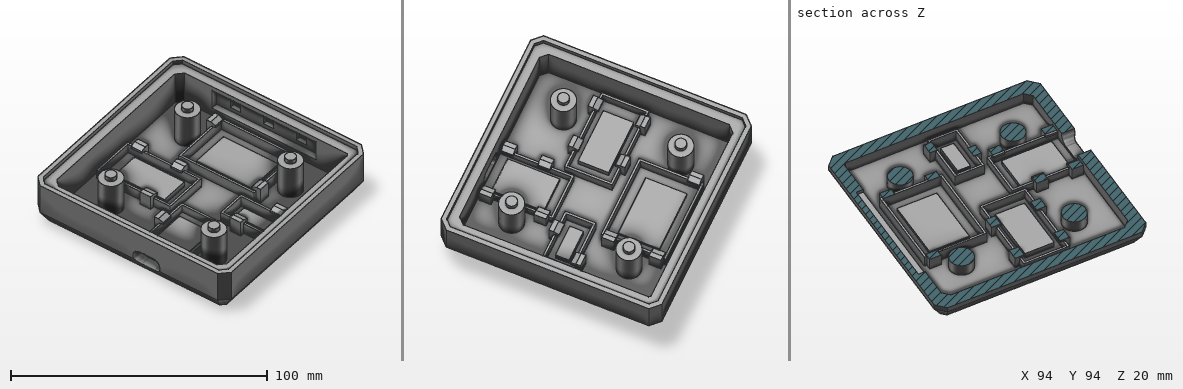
import cadquery as cq
SIDE = 94
HEIGHT = 20.0
CORNER_CUT = 3.9
BASE_SIDE = 86.5
BASE_CORNER_CUT = 1.9
BEVEL_HEIGHT = 6.0
FLOOR_Z = 3.0

LIP_THICKNESS = 2.0
SEAT_DEPTH = 2.0
SEAT_CORNER_CUT = 2.7
CAVITY_SIDE = 82.4
CAVITY_CORNER_CUT = 2.7
SMALL_CORNER_CUT = 0.7
SEAT_Z = HEIGHT - SEAT_DEPTH

POST_OFFSET = 25.0
POST_DIAMETER = 10.2
PIN_DIAMETER = 4.6
PIN_HEIGHT = 2.0

FRAME_WALL = 0.9
CLIP_LENGTH = 5.2
CLIP_THICKNESS = 2.0
CLIP_EMBED = 0.6
HOOK_REACH = 2.35
CLIP_RISE = 2.1
HOOK_TIP_TOP = 1.2
HOOK_TIP_BOTTOM = 0.3

SLOT_X = 8.6
SLOT_Z = 7.6
SLOT_WIDTH = 13.2
SLOT_HEIGHT = 7.0

RECESS_WIDTH = 50.6
RECESS_DEPTH = 3.0
RECESS_BOTTOM_Z = 6.8
RECESS_TOP_Z = 16
SOCKET_PITCH = 16
SOCKET_WIDTH = 5.0
SOCKET_DEPTH = 2.1
SOCKET_BOTTOM_Z = 8.65
SOCKET_TOP_Z = 13.6


def block(x_min, x_max, y_min, y_max, z_min, z_max):
    """Box given by its limits along each axis."""
    return cq.Workplane("XY").box(
        x_max - x_min, y_max - y_min, z_max - z_min, centered=False
    ).translate((x_min, y_min, z_min))


def cut_corner_square(side, cuts):
    """Points of a square with cut corners; cuts go +X+Y, -X+Y, -X-Y, +X-Y."""
    half = side / 2
    first, second, third, fourth = cuts
    return [
        (half, half - first), (half - first, half),
        (second - half, half), (-half, half - second),
        (-half, third - half), (third - half, -half),
        (half - fourth, -half), (half, fourth - half),
    ]


def make_shell():
    base = cut_corner_square(BASE_SIDE, [BASE_CORNER_CUT] * 4)
    outer = cut_corner_square(SIDE, [CORNER_CUT] * 4)
    seat = cut_corner_square(SIDE - 2 * LIP_THICKNESS, [SEAT_CORNER_CUT] * 4)
    cavity = cut_corner_square(CAVITY_SIDE, [SMALL_CORNER_CUT] + [CAVITY_CORNER_CUT] * 3)
    bevel = (
        cq.Workplane("XY").polyline(base).close()
        .workplane(offset=BEVEL_HEIGHT).polyline(outer).close()
        .loft(ruled=True)
    )
    walls = cq.Workplane("XY", origin=(0, 0, BEVEL_HEIGHT)).polyline(outer).close()
    shell = bevel.union(walls.extrude(HEIGHT - BEVEL_HEIGHT))
    for outline, bottom in ((seat, SEAT_Z), (cavity, FLOOR_Z)):
        pocket = cq.Workplane("XY", origin=(0, 0, bottom)).polyline(outline).close()
        shell = shell.cut(pocket.extrude(HEIGHT - bottom))
    return shell


def make_posts():
    """Four posts for the lid, each with a locating pin on top."""
    centers = [(x, y) for x in (-POST_OFFSET, POST_OFFSET) for y in (-POST_OFFSET, POST_OFFSET)]
    posts = cq.Workplane("XY").pushPoints(centers).circle(POST_DIAMETER / 2).extrude(SEAT_Z)
    pins = cq.Workplane("XY").pushPoints(centers).circle(PIN_DIAMETER / 2)
    return posts.union(pins.extrude(SEAT_Z + PIN_HEIGHT))


def make_clip(side, root_x, root_y, frame_top):
    """Snap clip outside the wall facing `side`, with a hook reaching inward from its root point."""
    profile = [
        (-CLIP_EMBED, 0), (CLIP_THICKNESS, 0),
        (CLIP_THICKNESS, frame_top + CLIP_RISE), (0, frame_top + CLIP_RISE),
        (-HOOK_REACH, frame_top + HOOK_TIP_TOP), (-HOOK_REACH, frame_top + HOOK_TIP_BOTTOM),
        (-CLIP_EMBED, frame_top),
    ]
    clip = cq.Workplane("XZ").polyline(profile).close().extrude(CLIP_LENGTH / 2, both=True)
    turn = {"+X": 0, "+Y": 90, "-X": 180, "-Y": 270}[side]
    return clip.rotate((0, 0, 0), (0, 0, 1), turn).translate((root_x, root_y, 0))


def make_frame(x_range, y_range, top, pad_x, pad_y, pad_height, clips):
    """Thin rectangular wall with a pad inside; each clip is (side, place along it, gap to the wall)."""
    (x_min, x_max), (y_min, y_max) = x_range, y_range
    frame = block(x_min, x_max, y_min, y_max, 0, top).cut(block(
        x_min + FRAME_WALL, x_max - FRAME_WALL, y_min + FRAME_WALL, y_max - FRAME_WALL, FLOOR_Z, top
    ))
    frame = frame.union(block(*pad_x, *pad_y, 0, FLOOR_Z + pad_height))
    for side, along, gap in clips:
        root_x, root_y = {
            "+X": (x_max + gap, along),
            "-X": (x_min - gap, along),
            "+Y": (along, y_max + gap),
            "-Y": (along, y_min - gap),
        }[side]
        frame = frame.union(make_clip(side, root_x, root_y, top))
    return frame


def make_frames():
    back = make_frame(
        x_range=(-18.3, 18.3),
        y_range=(10.15, 37.8),
        top=8.0,
        pad_x=(-13.35, 13.35),
        pad_y=(15.1, 32.8),
        pad_height=1.2,
        clips=[("-X", 34.1, 0.3), ("+X", 34.1, 0.3), ("+X", 14.0, 0.3)],
    )
    left = make_frame(
        x_range=(-39.4, -3.6),
        y_range=(-15.1, 5.2),
        top=7.3,
        pad_x=(-33.2, -8.9),
        pad_y=(-11.7, 1.3),
        pad_height=2.5,
        clips=[(side, along, 0) for side in ("-Y", "+Y") for along in (-33.4, -14.2)],
    )
    right = make_frame(
        x_range=(14.7, 37.0),
        y_range=(-6.8, 6.4),
        top=8.0,
        pad_x=(18.9, 32.8),
        pad_y=(-2.9, 2.9),
        pad_height=2.6,
        clips=[("+Y", 32.9, 0.6), ("-Y", 23.3, 0)],
    )
    front = make_frame(
        x_range=(-1.7, 19.0),
        y_range=(-CAVITY_SIDE / 2 - 2 * FRAME_WALL, -10.15),
        top=6.7,
        pad_x=(0.9, 16.4),
        pad_y=(-37.4, -15.1),
        pad_height=1.7,
        clips=[("+X", -14.6, 0.4), ("+X", -38.0, 0.4), ("-X", -22.3, 0.4), ("-X", -38.0, 0.4)],
    )
    return back.union(left).union(right).union(front)


def make_cable_slot():
    slot = cq.Workplane("XZ", origin=(SLOT_X, -CAVITY_SIDE / 2, SLOT_Z))
    return slot.slot2D(SLOT_WIDTH, SLOT_HEIGHT).extrude(SIDE / 2)


def make_switch_recess():
    inside = CAVITY_SIDE / 2
    back = inside + RECESS_DEPTH
    recess = block(-RECESS_WIDTH / 2, RECESS_WIDTH / 2, inside, back, RECESS_BOTTOM_Z, RECESS_TOP_Z)
    for center in (-SOCKET_PITCH, 0, SOCKET_PITCH):
        recess = recess.union(block(
            center - SOCKET_WIDTH / 2, center + SOCKET_WIDTH / 2,
            inside, back + SOCKET_DEPTH, SOCKET_BOTTOM_Z, SOCKET_TOP_Z,
        ))
    return recess


shell = make_shell().cut(make_switch_recess())
result = shell.union(make_posts()).union(make_frames()).cut(make_cable_slot())